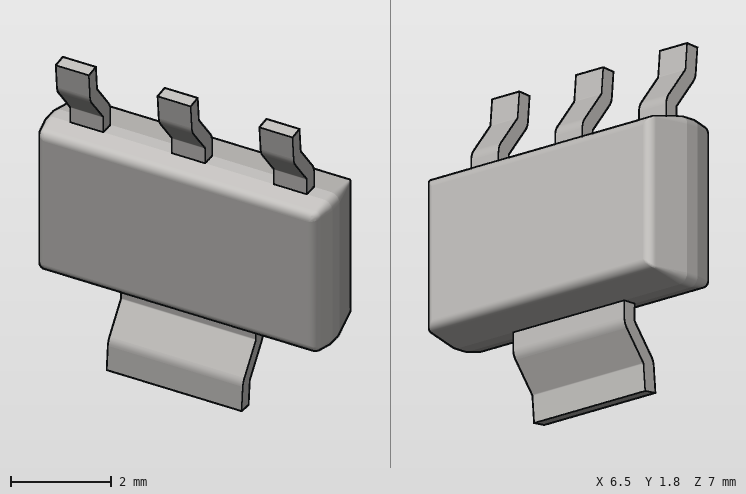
import cadquery as cq
import math


body_width = 6.5
body_length = 3.5
body_bottom = 0.1
body_top = 1.8
draft_angle = 12.0
corner_radius = 0.2
rim_radius = 0.2

sheet_thickness = 0.3
sheet_bottom = 0.6
sheet_top = sheet_bottom + sheet_thickness
overall_length = 7.0
stub_length = 0.35
bend_radius = 0.04
slant_angle = math.radians(37.5)
foot_angle = math.radians(5.0)
lead_width = 0.75
lead_pitch = 2.3
lead_count = 3
tab_width = 3.05


def extrude_outline(y_start, y_end, draft=0.0):
    """Rounded body outline extruded along Y, narrowing by the draft angle."""
    direction = math.copysign(1, y_end - y_start)
    plane = cq.Plane(origin=(0, y_start, 0), xDir=(1, 0, 0), normal=(0, direction, 0))
    outline = cq.Sketch().rect(body_width, body_length).vertices().fillet(corner_radius)
    return cq.Workplane(plane).placeSketch(outline).extrude(abs(y_end - y_start), taper=draft)


def make_body():
    """Straight belt level with the sheet, drafted halves above and below, rounded rims."""
    belt = extrude_outline(sheet_bottom, sheet_top)
    upper = extrude_outline(sheet_top, body_top, draft_angle)
    lower = extrude_outline(sheet_bottom, body_bottom, draft_angle)
    body = belt.union(upper).union(lower)
    return body.faces(">Y or <Y").edges().fillet(rim_radius).solids()


def offset_point(point, angle, distance):
    """Point moved in the YZ plane; the angle turns from +Y towards +Z."""
    y, z = point
    return (y + distance * math.cos(angle), z + distance * math.sin(angle))


def make_gull_wing(width, x_center):
    """Strip leaving the +Z face of the body, bent down to Y = 0 and ending in a foot.

    The inner and outer arcs of each bend share one center.
    """
    right_angle = math.pi / 2
    half_turn = math.pi
    root_z = body_length / 2
    outer_radius = bend_radius + sheet_thickness

    first_center = (sheet_bottom - bend_radius, root_z + stub_length)
    first_angles = (0, slant_angle / 2, slant_angle)
    first_outer = [offset_point(first_center, angle, outer_radius) for angle in first_angles]
    first_inner = [offset_point(first_center, angle, bend_radius) for angle in first_angles]

    foot_end_upper = (sheet_thickness * math.cos(foot_angle), overall_length / 2)
    foot_end_lower = offset_point(foot_end_upper, foot_angle + half_turn, sheet_thickness)

    slant_line = offset_point(first_outer[-1], slant_angle, bend_radius)
    foot_line = offset_point(foot_end_upper, foot_angle, bend_radius)
    foot_direction = right_angle + foot_angle
    dy = foot_line[0] - slant_line[0]
    dz = foot_line[1] - slant_line[1]
    distance_across_foot = dy * math.sin(foot_direction) - dz * math.cos(foot_direction)
    slant_length = distance_across_foot / math.sin(foot_angle - slant_angle)
    second_center = offset_point(slant_line, right_angle + slant_angle, slant_length)
    mean_angle = (foot_angle + slant_angle) / 2
    second_angles = [angle + half_turn for angle in (slant_angle, mean_angle, foot_angle)]
    second_inner = [offset_point(second_center, angle, bend_radius) for angle in second_angles]
    second_outer = [offset_point(second_center, angle, outer_radius) for angle in second_angles]

    return (
        cq.Workplane("YZ", origin=(x_center, 0, 0))
        .moveTo(sheet_bottom, root_z)
        .lineTo(sheet_top, root_z)
        .lineTo(*first_outer[0])
        .threePointArc(first_outer[1], first_outer[2])
        .lineTo(*second_inner[0])
        .threePointArc(second_inner[1], second_inner[2])
        .lineTo(*foot_end_upper)
        .lineTo(*foot_end_lower)
        .lineTo(*second_outer[2])
        .threePointArc(second_outer[1], second_outer[0])
        .lineTo(*first_inner[2])
        .threePointArc(first_inner[1], first_inner[0])
        .close()
        .extrude(width / 2, both=True)
    )


def make_leads():
    """Row of leads along X, centred on the body."""
    leads = []
    for index in range(lead_count):
        x_center = (index - (lead_count - 1) / 2) * lead_pitch
        leads.append(make_gull_wing(lead_width, x_center))
    return leads


def make_tab():
    """Wide tab with the lead profile, mirrored to the -Z side."""
    return make_gull_wing(tab_width, 0).mirror("XY")


body = make_body()
leads = make_leads()
tab = make_tab()

result = cq.Compound.makeCompound([body.val(), *[lead.val() for lead in leads], tab.val()])